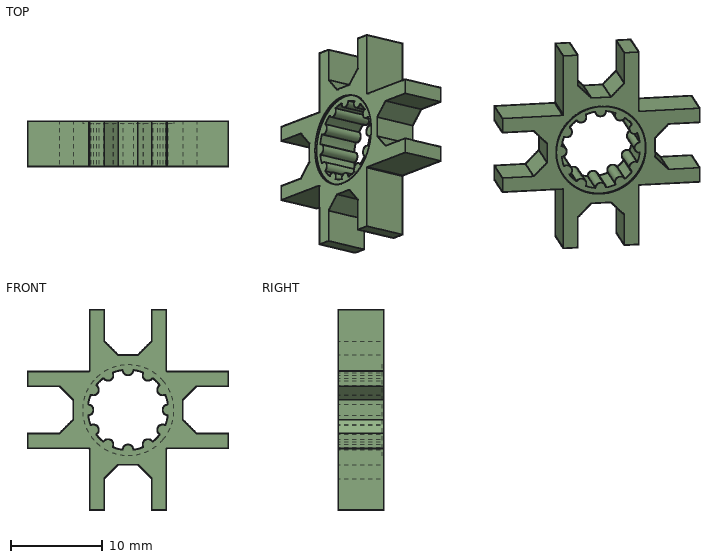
import cadquery as cq

span = 22.0
thickness = 5.0

arm_count = 4
arm_width = 8.43
prong_width = 1.63
fork_floor_distance = 6.03
fork_chamfer = 1.5
corner_chamfer = 0.07

tooth_count = 12
bore_radius = 4.4
tooth_tip_radius = 3.78
tooth_radius = 0.6

recess_radius = 5.0
recess_depth = 0.25

half_span = span / 2
half_arm = arm_width / 2
half_fork = half_arm - prong_width
arm_pitch = 360.0 / arm_count
tooth_pitch = 360.0 / tooth_count


def prism(sketch):
    """Extrude an XZ outline to the full thickness, centred on Y = 0."""
    return sketch.extrude(thickness / 2, both=True)


def turned(body, angle):
    """Copy of the body turned about the bore axis."""
    return body.rotate((0, 0, 0), (0, 1, 0), angle)


def cross_blank():
    """Plus-shaped plate with small chamfers in its four inner corners."""
    upright = prism(cq.Workplane("XZ").rect(arm_width, span))
    crossbar = prism(cq.Workplane("XZ").rect(span, arm_width))
    chamfer_reach = half_arm + corner_chamfer
    core = prism(cq.Workplane("XZ").polyline([
        (half_arm, chamfer_reach),
        (chamfer_reach, half_arm),
        (chamfer_reach, -half_arm),
        (half_arm, -chamfer_reach),
        (-half_arm, -chamfer_reach),
        (-chamfer_reach, -half_arm),
        (-chamfer_reach, half_arm),
        (-half_arm, chamfer_reach),
    ]).close())
    return upright.union(crossbar).union(core)


def fork_slot():
    """Open slot in the +Z arm, with both floor corners chamfered."""
    half_floor = half_fork - fork_chamfer
    chamfer_top = fork_floor_distance + fork_chamfer
    return prism(cq.Workplane("XZ").polyline([
        (-half_fork, half_span),
        (-half_fork, chamfer_top),
        (-half_floor, fork_floor_distance),
        (half_floor, fork_floor_distance),
        (half_fork, chamfer_top),
        (half_fork, half_span),
    ]).close())


def splined_bore():
    """Round bore with a ring of round teeth left standing on its wall."""
    bore = prism(cq.Workplane("XZ").circle(bore_radius))
    tooth = prism(cq.Workplane("XZ").center(tooth_tip_radius + tooth_radius, 0).circle(tooth_radius))
    for index in range(tooth_count):
        bore = bore.cut(turned(tooth, index * tooth_pitch))
    return bore


def back_recess():
    """Shallow disc that sets the toothed bore back from the +Y face."""
    back_plane = cq.Workplane("XZ", origin=(0, thickness / 2, 0))
    return back_plane.circle(recess_radius).extrude(recess_depth)


result = cross_blank()
for index in range(arm_count):
    result = result.cut(turned(fork_slot(), index * arm_pitch))
result = result.cut(splined_bore())
result = result.cut(back_recess())